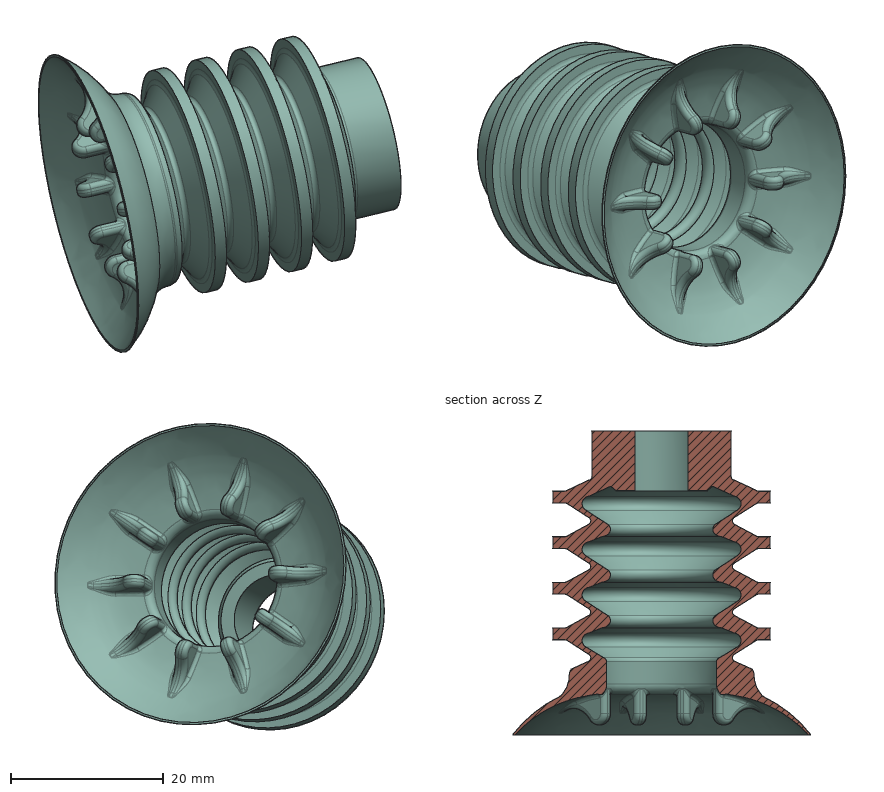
import cadquery as cq
import math

LENGTH = 39.9

RIM_RADIUS = 20.05
RIM_BAND = 0.12
RIM_INNER_RADIUS = 19.8
LIP_OUTER_MID = (17.15, 3.15)
LIP_OUTER_TOP = (14.1, 5.1)
LIP_INNER_MID = (16.25, 2.97)
LIP_INNER_TOP = (9.6, 5.35)

NECK_RADIUS = 26.0 / 2
NECK_FLARE_MID = (13.33, 6.22)
NECK_BOTTOM = 7.63
NECK_TOP = 7.85
SHOULDER_MID = (12.93, 8.3)
SHOULDER = (12.72, 8.67)
THROAT_RADIUS = 17.0 / 2
THROAT_ROUND_MID = (8.75, 5.8)
THROAT_BOTTOM = 6.65
THROAT_TOP = 9.65
THROAT_TOP_ROUND_MID = (8.65, 9.95)
THROAT_TOP_ROUND_END = (8.9, 10.2)

FOLDS = 4
FOLD_PITCH = 6.0
RING_RADIUS = 30.0 / 2
RING_BOTTOM = 12.5
RING_THICKNESS = 1.55
RING_ROOT_RADIUS = 13.75
RING_ROOT_MID = (13.4, 0.05)
RING_ROOT_END = (13.1, 0.2)
VALLEY_LOWER = (10.68, 9.67)
VALLEY_FLOOR = (10.4, 10.2)
VALLEY_UPPER = (10.6, 10.55)
GROOVE_LOWER = (10.85, 11.52)
GROOVE_BOTTOM = (11.35, 12.45)
GROOVE_UPPER = (10.5, 13.35)
CREST_LOWER = (9.05, 14.05)
CREST_TIP = (8.1, 14.95)
CREST_UPPER = (8.35, 15.65)

COLLAR_RADIUS = 20.5 / 2
COLLAR_BASE = 33.88
COLLAR_ROUND_MID = (10.3, 33.65)
COLLAR_ROUND_END = (10.65, 33.45)
BORE_RADIUS = 11.5 / 2
SEAT_RADIUS = 7.55
SEAT_LEVEL = 32.05
SEAT_BEVEL = 0.55

FINS = 10
FIN_WIDTH = 1.75
FIN_CREST_ROUND = 0.7
FIN_BASE_ROUND = 0.5
FIN_INNER_RADIUS = 8.6
FIN_NOSE_RADIUS = 1.5
FIN_NOSE_LEVEL = 1.32
FIN_NOSE_SLOPE = math.radians(55)
FIN_SWEEP_RADIUS = 3.6
FIN_TAIL_SLOPE = math.radians(-25)
FIN_BLANK_RADIUS = 18.45
FIN_BLANK_TOP = 7.23
FIN_TRIM_DEPTH = 0.4
PICK_MARGIN = 0.05


def raised(point, fold):
    """Profile point moved up from the first fold to the given fold."""
    radius, level = point
    return (radius, level + fold * FOLD_PITCH)


def add_outside(profile):
    """Outer outline from the rim up to the end of the collar."""
    profile = (
        profile.lineTo(RIM_RADIUS, RIM_BAND)
        .threePointArc(LIP_OUTER_MID, LIP_OUTER_TOP)
        .threePointArc(NECK_FLARE_MID, (NECK_RADIUS, NECK_BOTTOM))
        .lineTo(NECK_RADIUS, NECK_TOP)
        .threePointArc(SHOULDER_MID, SHOULDER)
    )
    for fold in range(FOLDS):
        ring_bottom = RING_BOTTOM + fold * FOLD_PITCH
        ring_top = ring_bottom + RING_THICKNESS
        profile = (
            profile.lineTo(*raised(VALLEY_LOWER, fold))
            .threePointArc(raised(VALLEY_FLOOR, fold), raised(VALLEY_UPPER, fold))
            .lineTo(RING_ROOT_END[0], ring_bottom - RING_ROOT_END[1])
            .threePointArc(
                (RING_ROOT_MID[0], ring_bottom - RING_ROOT_MID[1]),
                (RING_ROOT_RADIUS, ring_bottom),
            )
            .lineTo(RING_RADIUS, ring_bottom)
            .lineTo(RING_RADIUS, ring_top)
            .lineTo(RING_ROOT_RADIUS, ring_top)
            .threePointArc(
                (RING_ROOT_MID[0], ring_top + RING_ROOT_MID[1]),
                (RING_ROOT_END[0], ring_top + RING_ROOT_END[1]),
            )
        )
    return (
        profile.lineTo(*COLLAR_ROUND_END)
        .threePointArc(COLLAR_ROUND_MID, (COLLAR_RADIUS, COLLAR_BASE))
        .lineTo(COLLAR_RADIUS, LENGTH)
    )


def add_inside(profile):
    """Inner outline from the collar bore back down to the rim."""
    profile = (
        profile.lineTo(BORE_RADIUS, LENGTH)
        .lineTo(BORE_RADIUS, SEAT_LEVEL)
        .lineTo(SEAT_RADIUS, SEAT_LEVEL)
        .lineTo(SEAT_RADIUS + SEAT_BEVEL, SEAT_LEVEL + SEAT_BEVEL)
    )
    for fold in reversed(range(FOLDS)):
        if fold < FOLDS - 1:
            profile = profile.lineTo(*raised(CREST_UPPER, fold)).threePointArc(
                raised(CREST_TIP, fold), raised(CREST_LOWER, fold)
            )
        profile = profile.lineTo(*raised(GROOVE_UPPER, fold)).threePointArc(
            raised(GROOVE_BOTTOM, fold), raised(GROOVE_LOWER, fold)
        )
    return (
        profile.lineTo(*THROAT_TOP_ROUND_END)
        .threePointArc(THROAT_TOP_ROUND_MID, (THROAT_RADIUS, THROAT_TOP))
        .lineTo(THROAT_RADIUS, THROAT_BOTTOM)
        .threePointArc(THROAT_ROUND_MID, LIP_INNER_TOP)
        .threePointArc(LIP_INNER_MID, (RIM_INNER_RADIUS, 0))
    )


def make_cup():
    """The hollow cup without fins."""
    profile = cq.Workplane("XY").moveTo(RIM_INNER_RADIUS, 0).lineTo(RIM_RADIUS, 0)
    profile = add_inside(add_outside(profile)).close()
    return profile.revolve(360, (0, 0, 0), (0, 1, 0))


def make_envelope():
    """The cup filled solid, used to trim what reaches through the wall."""
    profile = cq.Workplane("XY").lineTo(RIM_RADIUS, 0)
    profile = add_outside(profile).lineTo(0, LENGTH).close()
    return profile.revolve(360, (0, 0, 0), (0, 1, 0))


def on_circle(center, radius, angle):
    """Point on a circle at an angle from the radial direction of the profile."""
    return (center[0] + radius * math.cos(angle), center[1] + radius * math.sin(angle))


def make_fin():
    """Fin along +X: a round nose sweeping into a straight tail, with a rounded crest."""
    nose_center = (FIN_INNER_RADIUS + FIN_NOSE_RADIUS, FIN_NOSE_LEVEL + FIN_NOSE_RADIUS)
    nose_end = on_circle(nose_center, FIN_NOSE_RADIUS, FIN_NOSE_SLOPE - math.pi / 2)

    sweep_center = on_circle(nose_end, FIN_SWEEP_RADIUS, FIN_NOSE_SLOPE - math.pi / 2)
    mid_slope = (FIN_NOSE_SLOPE + FIN_TAIL_SLOPE) / 2
    sweep_mid = on_circle(sweep_center, FIN_SWEEP_RADIUS, mid_slope + math.pi / 2)
    tail_start = on_circle(sweep_center, FIN_SWEEP_RADIUS, FIN_TAIL_SLOPE + math.pi / 2)
    tail_run = FIN_BLANK_RADIUS - tail_start[0]
    tail_end = (FIN_BLANK_RADIUS, tail_start[1] + tail_run * math.tan(FIN_TAIL_SLOPE))

    blank = (
        cq.Workplane("XY")
        .moveTo(FIN_INNER_RADIUS, FIN_BLANK_TOP)
        .lineTo(FIN_INNER_RADIUS, nose_center[1])
        .threePointArc(on_circle(nose_center, FIN_NOSE_RADIUS, -math.pi / 2), nose_end)
        .threePointArc(sweep_mid, tail_start)
        .lineTo(*tail_end)
        .lineTo(FIN_BLANK_RADIUS, FIN_BLANK_TOP)
        .close()
        .extrude(FIN_WIDTH / 2, both=True)
    )
    tail_middle = ((tail_start[0] + tail_end[0]) / 2, (tail_start[1] + tail_end[1]) / 2)
    tail_edges = cq.selectors.BoxSelector(
        (tail_middle[0] - PICK_MARGIN, tail_middle[1] - PICK_MARGIN, -FIN_WIDTH),
        (tail_middle[0] + PICK_MARGIN, tail_middle[1] + PICK_MARGIN, FIN_WIDTH),
    )
    blank = blank.edges(tail_edges).fillet(FIN_CREST_ROUND)
    return blank.intersect(make_envelope().translate((0, -FIN_TRIM_DEPTH, 0)))


def add_fin(cup, fin):
    """Join one fin along +X and round its flanks into the lip surface."""
    joined = cup.union(fin)
    flank_foot = cq.selectors.BoxSelector(
        (THROAT_RADIUS, FIN_NOSE_LEVEL, -FIN_WIDTH),
        (RIM_INNER_RADIUS, FIN_BLANK_TOP, FIN_WIDTH),
    )
    return joined.edges("%BSPLINE").edges(flank_foot).fillet(FIN_BASE_ROUND)


result = make_cup()
fin = make_fin()
for _ in range(FINS):
    result = add_fin(result, fin).rotate((0, 0, 0), (0, 1, 0), 360 / FINS)